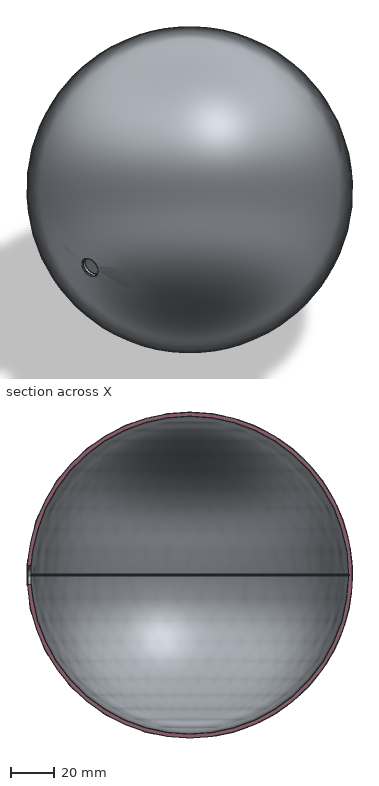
import cadquery as cq
import math

ball_diameter = 150
ball_radius = ball_diameter / 2
wall_thickness = 2.0
cavity_radius = ball_radius - wall_thickness
seam_angle = 45

hole_diameter = 8.5
rim_chamfer = 0.5

groove_width = 0.9
groove_depth = groove_width / 2


def turn_seam(body):
    """Turn a body of revolution about Z so that its seam lies away from the hole."""
    return body.rotate((0, 0, 0), (0, 0, 1), seam_angle)


def outer_ball():
    return turn_seam(cq.Workplane("XY").sphere(ball_radius))


def cavity():
    """Inner sphere carrying a V-shaped ridge around its equator, which leaves the groove."""
    half_width = groove_width / 2
    mouth_radius = math.sqrt(cavity_radius**2 - half_width**2)
    arc_x = cavity_radius * math.cos(math.radians(45))
    arc_z = cavity_radius * math.sin(math.radians(45))
    body = (
        cq.Workplane("XZ")
        .moveTo(0, -cavity_radius)
        .threePointArc((arc_x, -arc_z), (mouth_radius, -half_width))
        .lineTo(mouth_radius + groove_depth, 0)
        .lineTo(mouth_radius, half_width)
        .threePointArc((arc_x, arc_z), (0, cavity_radius))
        .close()
        .revolve(360, (0, 0, 0), (0, 1, 0))
    )
    return turn_seam(body)


def wall_hole():
    """Straight bore from the cavity to the outside, flared into a cone at its outer rim."""
    bore_radius = hole_diameter / 2
    rim_radius = bore_radius + rim_chamfer
    rim_y = -math.sqrt(ball_radius**2 - rim_radius**2)
    return (
        cq.Workplane("XY")
        .lineTo(bore_radius, 0)
        .lineTo(bore_radius, rim_y + rim_chamfer)
        .lineTo(rim_radius, rim_y)
        .lineTo(rim_radius, -ball_radius)
        .lineTo(0, -ball_radius)
        .close()
        .revolve(360, (0, 0, 0), (0, 1, 0))
    )


result = outer_ball().cut(cavity()).cut(wall_hole()).solids()